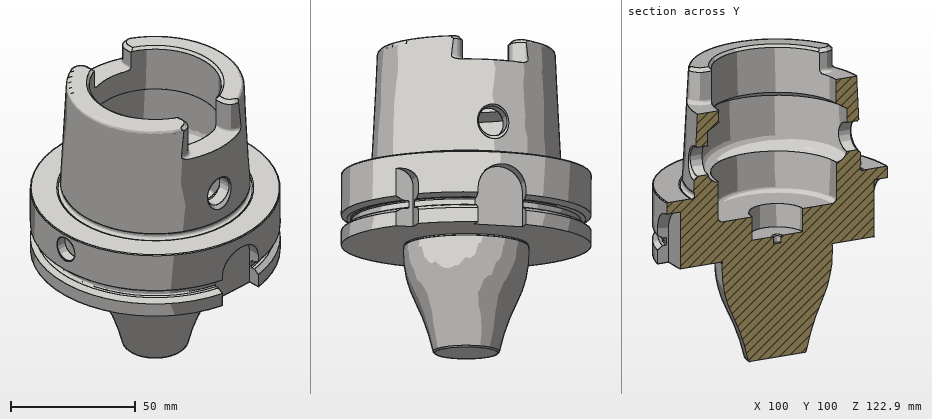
import cadquery as cq
import math


diagonal = math.sqrt(0.5)

total_length = 122.9
shank_length = 50.0
flange_thickness = 29.0
nose_end_z = shank_length - total_length

shank_top_radius = 35.6
shank_rounding = 2.0
taper_slope = 0.05
taper_end_z = 2.5
taper_end_radius = shank_top_radius + taper_slope * (shank_length - taper_end_z)

relief_step = 0.5
relief_radius = taper_end_radius - relief_step
relief_fillet = 1.4
relief_depth = 0.2
relief_outer_radius = 39.5

flange_radius = 50.0
flange_chamfer = 0.4
groove_z = -20.0
groove_mouth_half_width = 3.2
groove_half_width = 1.6
groove_flank_depth = 2.2
groove_radius = 46.0
groove_floor_fillet = 0.5

nose_radius = 25.1
nose_neck_radius = 24.8
nose_neck_length = 0.6
nose_straight_length = 3.8
bulge_end_z = -51.5
bulge_end_radius = 20.6
nose_end_radius = 13.3
nose_end_chamfer = 0.6

bore_radius = 26.4
bore_chamfer = 1.1
clamp_cone_depth = 20.0
clamp_cone_angle = 60.0
chamber_radius = 31.5
chamber_depth = 40.1
lower_bore_radius = 26.7
bore_depth = 62.0
bore_floor_fillet = 1.8
tube_hole_radius = 11.4
tube_hole_depth = 9.8
centre_hole_radius = 1.6
centre_hole_chamfer = 0.5
centre_hole_depth = 3.1

keyway_half_width = 10.1
keyway_corner_radius = 5.0
keyway_corner_x = 32.2
keyway_floor_fillet = 1.7
keyway_chamfer = 1.5
keyway_chamfer_angle = 45.0
keyway_depth_minus_x = 10.0
keyway_depth_plus_x = 14.9
keyway_reach_x = 44.2
keyway_reach_y = 22.1

cross_hole_z = 15.0
cross_hole_radius = 6.0
cross_hole_sink = 1.1

drive_slot_half_width = 10.02
drive_slot_top_z = -5.0
drive_slot_floor_x = 44.0
side_slot_half_width = 7.0
side_slot_top_z = -5.7
side_slot_floor_x = 31.3
side_slot_y = 38.8

chip_hole_z = -7.0
chip_hole_radius = 5.0
chip_hole_depth = 4.5
chip_hole_chamfer = 0.4
chip_centre_radius = 0.5
chip_centre_depth = 0.6


def cylinder(radius, length, base, direction):
    """Cylinder from a base point along a direction."""
    return cq.Workplane(cq.Solid.makeCylinder(radius, length, cq.Vector(*base), cq.Vector(*direction)))


def cone(base_radius, end_radius, length, base, direction):
    """Cone frustum from a base point along a direction."""
    return cq.Workplane(
        cq.Solid.makeCone(base_radius, end_radius, length, cq.Vector(*base), cq.Vector(*direction))
    )


def make_body():
    """Outer profile in the XZ half plane, revolved about Z."""
    rounding_r = shank_top_radius - shank_rounding * (1 - diagonal)
    rounding_z = shank_length - shank_rounding * (1 - diagonal)
    fillet_centre_r = relief_radius + relief_fillet
    fillet_centre_z = relief_fillet - relief_depth
    groove_inset = groove_floor_fillet * (1 - diagonal)
    flange_bottom_z = -flange_thickness
    bulge_start_z = flange_bottom_z - nose_straight_length

    drop = bulge_start_z - bulge_end_z
    inset = nose_radius - bulge_end_radius
    bulge_arc_radius = (drop**2 + inset**2) / (2 * inset)
    half_sweep = math.asin(drop / bulge_arc_radius) / 2
    bulge_mid = (
        nose_radius - bulge_arc_radius * (1 - math.cos(half_sweep)),
        bulge_start_z - bulge_arc_radius * math.sin(half_sweep),
    )

    profile = (
        cq.Workplane("XZ")
        .moveTo(0, shank_length)
        .lineTo(shank_top_radius - shank_rounding, shank_length)
        .threePointArc((rounding_r, rounding_z), (shank_top_radius, shank_length - shank_rounding))
        .lineTo(taper_end_radius, taper_end_z)
        .lineTo(relief_radius, taper_end_z - relief_step)
        .lineTo(relief_radius, fillet_centre_z)
        .threePointArc(
            (fillet_centre_r - relief_fillet * diagonal, fillet_centre_z - relief_fillet * diagonal),
            (fillet_centre_r, -relief_depth),
        )
        .lineTo(relief_outer_radius, 0)
        .lineTo(flange_radius - flange_chamfer, 0)
        .lineTo(flange_radius, -flange_chamfer)
        .lineTo(flange_radius, groove_z + groove_mouth_half_width)
        .lineTo(flange_radius - groove_flank_depth, groove_z + groove_half_width)
        .lineTo(groove_radius + groove_floor_fillet, groove_z + groove_half_width)
        .threePointArc(
            (groove_radius + groove_inset, groove_z + groove_half_width - groove_inset),
            (groove_radius, groove_z + groove_half_width - groove_floor_fillet),
        )
        .lineTo(groove_radius, groove_z - groove_half_width + groove_floor_fillet)
        .threePointArc(
            (groove_radius + groove_inset, groove_z - groove_half_width + groove_inset),
            (groove_radius + groove_floor_fillet, groove_z - groove_half_width),
        )
        .lineTo(flange_radius - groove_flank_depth, groove_z - groove_half_width)
        .lineTo(flange_radius, groove_z - groove_mouth_half_width)
        .lineTo(flange_radius, flange_bottom_z)
        .lineTo(nose_neck_radius, flange_bottom_z)
        .lineTo(nose_neck_radius, flange_bottom_z - nose_neck_length)
        .lineTo(nose_radius, flange_bottom_z - nose_neck_length)
        .lineTo(nose_radius, bulge_start_z)
        .threePointArc(bulge_mid, (bulge_end_radius, bulge_end_z))
        .tangentArcPoint((nose_end_radius, nose_end_z + nose_end_chamfer), relative=False)
        .lineTo(nose_end_radius - nose_end_chamfer, nose_end_z)
        .lineTo(0, nose_end_z)
        .close()
    )
    return profile.revolve(360, (0, 0), (0, 1))


def make_bore():
    """Stepped cavity entered from the shank end."""
    clamp_cone_length = (chamber_radius - bore_radius) / math.tan(math.radians(clamp_cone_angle))
    chamber_end_z = shank_length - chamber_depth
    ledge_radius = chamber_radius - lower_bore_radius
    ledge_inset = ledge_radius * (1 - diagonal)
    floor_z = shank_length - bore_depth
    tube_floor_z = floor_z - tube_hole_depth
    fillet_inset = bore_floor_fillet * (1 - diagonal)
    profile = (
        cq.Workplane("XZ")
        .moveTo(0, shank_length)
        .lineTo(bore_radius + bore_chamfer, shank_length)
        .lineTo(bore_radius, shank_length - bore_chamfer)
        .lineTo(bore_radius, shank_length - clamp_cone_depth)
        .lineTo(chamber_radius, shank_length - clamp_cone_depth - clamp_cone_length)
        .lineTo(chamber_radius, chamber_end_z)
        .threePointArc(
            (chamber_radius - ledge_inset, chamber_end_z - ledge_radius + ledge_inset),
            (lower_bore_radius, chamber_end_z - ledge_radius),
        )
        .lineTo(lower_bore_radius, floor_z + bore_floor_fillet)
        .threePointArc(
            (lower_bore_radius - fillet_inset, floor_z + fillet_inset),
            (lower_bore_radius - bore_floor_fillet, floor_z),
        )
        .lineTo(tube_hole_radius, floor_z)
        .lineTo(tube_hole_radius, tube_floor_z)
        .lineTo(centre_hole_radius + centre_hole_chamfer, tube_floor_z)
        .lineTo(centre_hole_radius, tube_floor_z - centre_hole_chamfer)
        .lineTo(centre_hole_radius, tube_floor_z - centre_hole_depth)
        .lineTo(0, tube_floor_z - centre_hole_depth)
        .close()
    )
    return profile.revolve(360, (0, 0), (0, 1))


def keyway_outline(base_z):
    """Keyway plan on the +X side: straight walls that curve outwards at the shank surface."""
    arc_start_x = keyway_corner_x - keyway_corner_radius
    arc_end_y = keyway_half_width + keyway_corner_radius
    arc_mid_x = arc_start_x + keyway_corner_radius * diagonal
    arc_mid_y = arc_end_y - keyway_corner_radius * diagonal
    return (
        cq.Workplane("XY", origin=(0, 0, base_z))
        .moveTo(0, -keyway_half_width)
        .lineTo(arc_start_x, -keyway_half_width)
        .threePointArc((arc_mid_x, -arc_mid_y), (keyway_corner_x, -arc_end_y))
        .lineTo(keyway_corner_x, -keyway_reach_y)
        .lineTo(keyway_reach_x, -keyway_reach_y)
        .lineTo(keyway_reach_x, keyway_reach_y)
        .lineTo(keyway_corner_x, keyway_reach_y)
        .lineTo(keyway_corner_x, arc_end_y)
        .threePointArc((arc_mid_x, arc_mid_y), (arc_start_x, keyway_half_width))
        .lineTo(0, keyway_half_width)
        .close()
    )


def make_keyway(depth):
    """Keyway cutter on the +X side with a filleted floor and a flared mouth."""
    channel = keyway_outline(shank_length - depth).extrude(depth)
    channel = channel.faces("<Z").edges().fillet(keyway_floor_fillet)
    flare = keyway_outline(shank_length - keyway_chamfer).extrude(keyway_chamfer, taper=-keyway_chamfer_angle)
    return channel.union(flare)


def make_cross_hole():
    """Countersunk hole along +X from the axis outwards."""
    surface_x = shank_top_radius + taper_slope * (shank_length - cross_hole_z)
    hole = cylinder(cross_hole_radius, flange_radius, (0, 0, cross_hole_z), (1, 0, 0))
    sink = cone(
        cross_hole_radius,
        cross_hole_radius + 2 * cross_hole_sink,
        2 * cross_hole_sink,
        (surface_x - cross_hole_sink, 0, cross_hole_z),
        (1, 0, 0),
    )
    return hole.union(sink)


def make_rim_slot(half_width, top_z, floor_x, centre_y):
    """Round-topped slot cut from the +X side down through the flange's lower face."""
    arch_z = top_z - half_width
    return (
        cq.Workplane("YZ", origin=(floor_x, centre_y, 0))
        .moveTo(-half_width, -flange_thickness)
        .lineTo(-half_width, arch_z)
        .threePointArc((0, top_z), (half_width, arch_z))
        .lineTo(half_width, -flange_thickness)
        .close()
        .extrude(flange_radius)
    )


def make_chip_hole():
    """Blind chamfered hole from the -Y side with a centre mark in its floor."""
    floor_y = chip_hole_depth - flange_radius
    inward = (0, 1, 0)
    mouth = (0, -flange_radius, chip_hole_z)
    hole = cylinder(chip_hole_radius, chip_hole_depth, mouth, inward)
    mouth_radius = chip_hole_radius + chip_hole_chamfer
    chamfer = cone(mouth_radius, chip_hole_radius, chip_hole_chamfer, mouth, inward)
    mark = cylinder(chip_centre_radius, chip_centre_depth, (0, floor_y, chip_hole_z), inward)
    return hole.union(chamfer).union(mark)


def on_minus_x(cutter):
    """Turn a +X cutter half a turn about Z so that it works on the -X side."""
    return cutter.rotate((0, 0, 0), (0, 0, 1), 180)


cross_hole = make_cross_hole()
drive_slot = make_rim_slot(drive_slot_half_width, drive_slot_top_z, drive_slot_floor_x, 0)
side_slot = make_rim_slot(side_slot_half_width, side_slot_top_z, side_slot_floor_x, -side_slot_y)

result = make_body().cut(make_bore())
for cutter in (
    make_keyway(keyway_depth_plus_x),
    on_minus_x(make_keyway(keyway_depth_minus_x)),
    cross_hole,
    on_minus_x(cross_hole),
    drive_slot,
    on_minus_x(drive_slot),
    on_minus_x(side_slot),
    make_chip_hole(),
):
    result = result.cut(cutter)